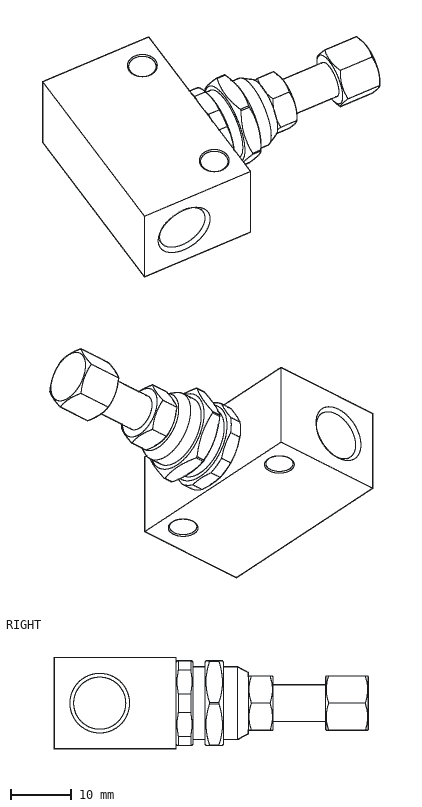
import cadquery as cq
import math

body_width = 34.0
body_depth = 20.0
body_height = 15.0

mount_hole_diameter = 4.5
mount_hole_spacing = 24.0
mount_hole_y = 16.0
mount_hole_chamfer = 0.2

port_diameter = 8.55
port_depth = 10.0
port_y = 7.5
port_chamfer = 0.6

base_hex_end = 22.8
lock_nut_start = 24.75
lock_nut_end = 27.8
cone_start = 30.15
cone_end = 31.9
stem_nut_end = 35.95
knob_start = 44.6
stem_end = 51.6

collar_diameter = 12.0
cone_end_diameter = 10.1
stem_diameter = 6.1

corner_to_flat_ratio = 1 / math.cos(math.pi / 6)
large_hex_flats = 14.0
small_hex_flats = 9.0
base_hex_trim = 14.7
lock_nut_trim = 16.0
small_hex_trim = small_hex_flats * corner_to_flat_ratio

end_face_ratio = 0.96
chamfer_angle = 30


def cylinder(diameter, start, end):
    """Cylinder on the stem axis between two Y stations."""
    return cq.Workplane("XZ", origin=(0, start, 0)).circle(diameter / 2).extrude(start - end)


def turned(points):
    """Solid of revolution about the Y axis from (radius, Y) points."""
    return cq.Workplane("XY").polyline(points).close().revolve(360, (0, 0, 0), (0, 1, 0))


def hexagon(flats, trim_diameter, start, end):
    """Hexagon with flats facing +Z and -Z, turned down at its corners and both ends."""
    prism = (
        cq.Workplane("XZ", origin=(0, start, 0))
        .polygon(6, flats * corner_to_flat_ratio)
        .extrude(start - end)
    )
    trim_radius = trim_diameter / 2
    face_radius = end_face_ratio * flats / 2
    chamfer_length = (trim_radius - face_radius) * math.tan(math.radians(chamfer_angle))
    envelope = turned([
        (0, start),
        (face_radius, start),
        (trim_radius, start + chamfer_length),
        (trim_radius, end - chamfer_length),
        (face_radius, end),
        (0, end),
    ])
    return prism.intersect(envelope)


def chamfered_cutter(diameter, depth, chamfer, plane):
    """Drill shape going into the part from the plane, with a 45 degree mouth."""
    drill = cq.Workplane(plane).circle(diameter / 2).extrude(-depth)
    mouth = cq.Workplane(plane).circle(diameter / 2 + chamfer).extrude(-chamfer, taper=45)
    return drill.union(mouth)


def make_body():
    body = cq.Workplane("XY").box(body_width, body_depth, body_height)
    body = body.translate((0, body_depth / 2, 0))
    for side in (-1, 1):
        port_plane = cq.Plane(
            origin=(side * body_width / 2, port_y, 0), xDir=(0, 1, 0), normal=(side, 0, 0)
        )
        body = body.cut(chamfered_cutter(port_diameter, port_depth, port_chamfer, port_plane))
        for face in (-1, 1):
            hole_plane = cq.Plane(
                origin=(side * mount_hole_spacing / 2, mount_hole_y, face * body_height / 2),
                xDir=(1, 0, 0),
                normal=(0, 0, face),
            )
            body = body.cut(
                chamfered_cutter(mount_hole_diameter, body_height, mount_hole_chamfer, hole_plane)
            )
    return body


def make_stem():
    collar = turned([
        (0, body_depth),
        (collar_diameter / 2, body_depth),
        (collar_diameter / 2, cone_start),
        (cone_end_diameter / 2, cone_end),
        (0, cone_end),
    ])
    stem = collar.union(cylinder(stem_diameter, cone_end, stem_end))
    stem = stem.union(hexagon(large_hex_flats, base_hex_trim, body_depth, base_hex_end))
    stem = stem.union(hexagon(large_hex_flats, lock_nut_trim, lock_nut_start, lock_nut_end))
    stem = stem.union(hexagon(small_hex_flats, small_hex_trim, cone_end, stem_nut_end))
    return stem.union(hexagon(small_hex_flats, small_hex_trim, knob_start, stem_end))


result = make_body().union(make_stem())